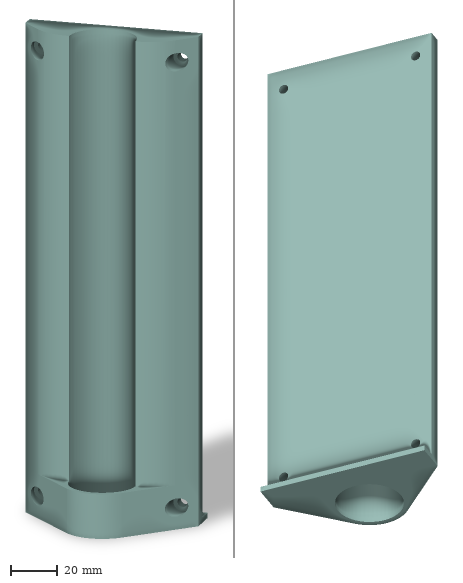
import cadquery as cq
import math

width = 78.0
depth = 45.5
height = 220.0

bore_diameter = 30.0
nose_radius = 17.5
collar_height = 20.0
shoulder_radius = 21.8
shoulder_y = -0.2

lip_length = 7.5
lip_thickness = 2.5

hole_diameter = 4.5
head_diameter = 8.1
hole_spacing = 63.0
hole_end_distance = 10.0
head_seat_thickness = 5.0

half_width = width / 2
bore_radius = bore_diameter / 2
lip_back = depth - nose_radius
body_back = lip_back - lip_length

diagonal = math.sqrt(0.5)
nose_tangent = nose_radius * diagonal
slope_offset = nose_radius / diagonal
corner_y = half_width - slope_offset


def make_body():
    """Full-height block with two sloped faces meeting in a round nose."""
    return (
        cq.Workplane("XY")
        .moveTo(-half_width, body_back)
        .lineTo(-half_width, corner_y)
        .lineTo(-nose_tangent, -nose_tangent)
        .threePointArc((0, -nose_radius), (nose_tangent, -nose_tangent))
        .lineTo(half_width, corner_y)
        .lineTo(half_width, body_back)
        .close()
        .extrude(height)
    )


def make_front_opening():
    """Space removed above the collar, leaving a rounded shoulder on each side of the bore."""
    tangent_length = shoulder_radius * math.tan(math.pi / 8)
    flat_end_x = slope_offset + shoulder_y - tangent_length
    center_y = shoulder_y + shoulder_radius
    arc_end_x = flat_end_x + shoulder_radius * diagonal
    arc_end_y = center_y - shoulder_radius * diagonal
    arc_mid_x = flat_end_x + shoulder_radius * math.sin(math.pi / 8)
    arc_mid_y = center_y - shoulder_radius * math.cos(math.pi / 8)
    front_y = -depth
    return (
        cq.Workplane("XY")
        .workplane(offset=collar_height)
        .moveTo(-flat_end_x, shoulder_y)
        .lineTo(flat_end_x, shoulder_y)
        .threePointArc((arc_mid_x, arc_mid_y), (arc_end_x, arc_end_y))
        .lineTo(arc_end_x, front_y)
        .lineTo(-arc_end_x, front_y)
        .lineTo(-arc_end_x, arc_end_y)
        .threePointArc((-arc_mid_x, arc_mid_y), (-flat_end_x, shoulder_y))
        .close()
        .extrude(height - collar_height)
    )


def make_lip():
    """Thin plate projecting from the back at the bottom."""
    return (
        cq.Workplane("XY")
        .center(0, body_back + lip_length / 2)
        .rect(width, lip_length)
        .extrude(lip_thickness)
    )


def make_screw_cutter(x, z):
    """Through hole with a head recess open to the front."""
    direction = cq.Vector(0, -1, 0)
    shank = cq.Solid.makeCylinder(hole_diameter / 2, depth, cq.Vector(x, body_back, z), direction)
    seat = cq.Vector(x, body_back - head_seat_thickness, z)
    head = cq.Solid.makeCylinder(head_diameter / 2, depth, seat, direction)
    return shank.fuse(head)


bore = cq.Workplane("XY").circle(bore_radius).extrude(height)
result = make_body().cut(make_front_opening()).cut(bore).union(make_lip())

for hole_x in (-hole_spacing / 2, hole_spacing / 2):
    for hole_z in (hole_end_distance, height - hole_end_distance):
        result = result.cut(make_screw_cutter(hole_x, hole_z))